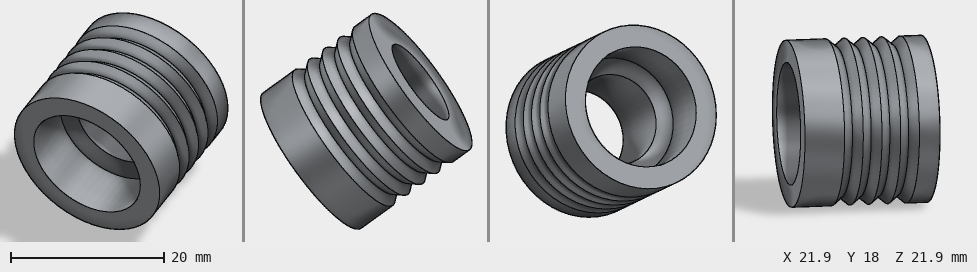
import cadquery as cq

outer_diameter = 21.87
length = 18.0

groove_count = 4
groove_width = 2.5
groove_depth = 1.0
rear_land = 2.75

wide_bore_diameter = 16.03
narrow_bore_diameter = 12.05
wide_bore_depth = 7.0
cone_length = 1.0

outer_radius = outer_diameter / 2
wide_radius = wide_bore_diameter / 2
narrow_radius = narrow_bore_diameter / 2
front_y = -length / 2
rear_y = length / 2
cone_start_y = front_y + wide_bore_depth
cone_end_y = cone_start_y + cone_length


def half_section():
    """Closed radial section of the sleeve, drawn as (radius, y)."""
    bore = [
        (wide_radius, front_y),
        (wide_radius, cone_start_y),
        (narrow_radius, cone_end_y),
        (narrow_radius, rear_y),
    ]
    outside = [(outer_radius, rear_y), (outer_radius, rear_y - rear_land)]
    for index in range(groove_count):
        groove_start_y = rear_y - rear_land - index * groove_width
        outside.append((outer_radius - groove_depth, groove_start_y - groove_width / 2))
        outside.append((outer_radius, groove_start_y - groove_width))
    outside.append((outer_radius, front_y))
    return cq.Workplane("XY").polyline(bore + outside).close()


result = half_section().revolve(360, (0, 0, 0), (0, 1, 0))